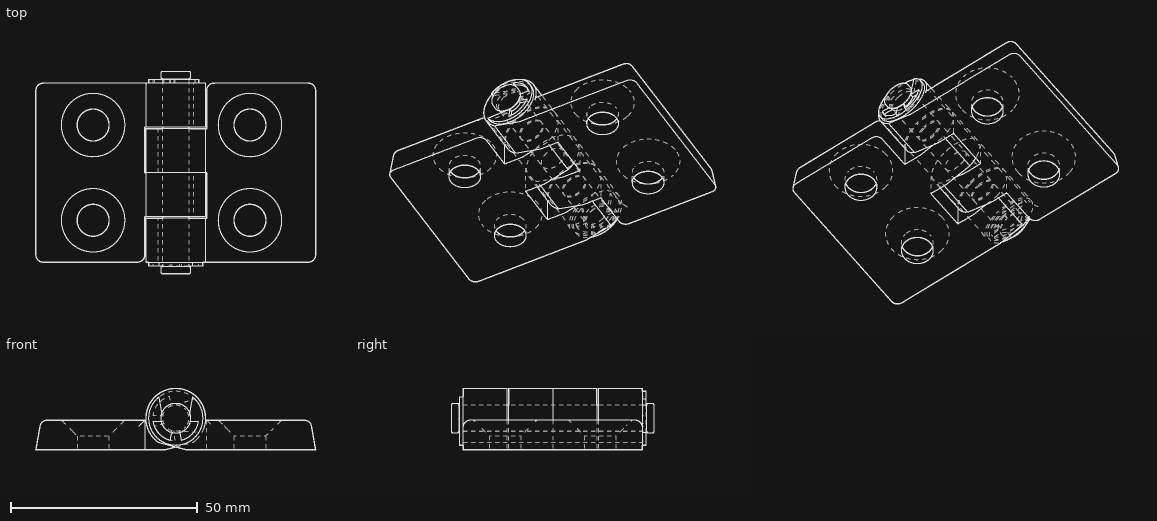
import cadquery as cq
import math

AXIS_Z = 8.5
BARREL_RADIUS = 8.0
LEAF_LENGTH = 48.0
LEAF_REACH = 74.97 / 2
LEAF_HEIGHT = 8.0
LEAF_ROUND = 2.0
DRAFT = math.tan(math.radians(10))
BARREL_CLEARANCE = 0.25
PLATE_INNER = BARREL_RADIUS + BARREL_CLEARANCE

KNUCKLE_PITCH = LEAF_LENGTH / 4
KNUCKLE_GAP = 0.4
KNUCKLE_LENGTH = KNUCKLE_PITCH - KNUCKLE_GAP / 2

RELIEF_START = 2.85
RELIEF_SLOPE = math.tan(math.radians(15))

SCREW_DIAMETER = 8.5
SINK_DIAMETER = 17.0
SCREW_SPACING = 25.5
LEFT_SCREW_X = 22.125
RIGHT_SCREW_X = 19.875

PIN_LENGTH = 54.25
SHAFT_RADIUS = 3.5
HEAD_RADIUS = 4.0
HEAD_ROUND = HEAD_RADIUS - SHAFT_RADIUS

CLIP_THICKNESS = 1.0
PIN_GROOVE_WIDTH = 1.1
CLIP_RADIUS = 7.25
CLIP_TAPER = math.tan(math.radians(10))
WINDOW_RADIUS = 6.1
WINDOW_TOP = -0.95
TAB_HALF_WIDTH = 0.45
REAR_CLIP_TURN = 83.0

SHAFT_HALF = LEAF_LENGTH / 2 + PIN_GROOVE_WIDTH


def y_cylinder(radius, y_start, length):
    """Solid cylinder on the hinge axis, from y_start toward +Y."""
    return (
        cq.Workplane("XZ", origin=(0, y_start, AXIS_Z))
        .circle(radius)
        .extrude(-length)
    )


def leaf_plate():
    """Plate from the -X end to the axis: drafted end, rounded corners and top edges."""
    plate = (
        cq.Workplane("XZ", origin=(0, LEAF_LENGTH / 2, 0))
        .polyline([
            (-LEAF_REACH, 0),
            (0, 0),
            (0, LEAF_HEIGHT),
            (-LEAF_REACH + LEAF_HEIGHT * DRAFT, LEAF_HEIGHT),
        ])
        .close()
        .extrude(LEAF_LENGTH)
    )
    plate = plate.faces("<X").edges("not |Y").fillet(LEAF_ROUND)
    return plate.faces(">Z").edges("not >X").fillet(LEAF_ROUND)


def knuckle_clearance(y_start, length):
    """Room beside the plate for a knuckle of the opposite leaf, from y_start toward +Y."""
    return (
        cq.Workplane("XY", origin=(0, y_start, 0))
        .rect(-PLATE_INNER, length, centered=False)
        .extrude(LEAF_HEIGHT)
    )


def inner_corner_trim():
    """Waste outside the rounded inner corner at the end without a knuckle."""
    corner = (-PLATE_INNER, -LEAF_LENGTH / 2)
    return (
        cq.Workplane("XY")
        .moveTo(*corner)
        .lineTo(corner[0], corner[1] + LEAF_ROUND)
        .radiusArc((corner[0] - LEAF_ROUND, corner[1]), LEAF_ROUND)
        .close()
        .extrude(LEAF_HEIGHT)
    )


def underside_relief():
    """Wedge under the sloped flat that trims the bottom of the barrels."""
    return (
        cq.Workplane("XZ", origin=(0, LEAF_LENGTH / 2, 0))
        .polyline([
            (-RELIEF_START, 0),
            (BARREL_RADIUS, 0),
            (BARREL_RADIUS, (RELIEF_START + BARREL_RADIUS) * RELIEF_SLOPE),
        ])
        .close()
        .extrude(LEAF_LENGTH)
    )


def screw_hole(x, y):
    """Through hole with a conical countersink in the top of the leaf."""
    sink_depth = (SINK_DIAMETER - SCREW_DIAMETER) / 2
    hole = cq.Workplane("XY", origin=(x, y, 0)).circle(SCREW_DIAMETER / 2).extrude(LEAF_HEIGHT)
    cone = cq.Solid.makeCone(
        SCREW_DIAMETER / 2, SINK_DIAMETER / 2, sink_depth, cq.Vector(x, y, LEAF_HEIGHT - sink_depth)
    )
    return hole.union(cq.Workplane(cone))


def hinge_leaf(screw_x):
    """Leaf on the -X side with knuckles at the +Y end and just in front of mid-length."""
    leaf = leaf_plate()
    for y_start in (-LEAF_LENGTH / 2, 0):
        leaf = leaf.cut(knuckle_clearance(y_start, KNUCKLE_PITCH + KNUCKLE_GAP / 2))
    leaf = leaf.cut(inner_corner_trim())
    for y_start in (LEAF_LENGTH / 2 - KNUCKLE_LENGTH, -KNUCKLE_LENGTH):
        leaf = leaf.union(y_cylinder(BARREL_RADIUS, y_start, KNUCKLE_LENGTH))
    leaf = leaf.cut(underside_relief())
    leaf = leaf.cut(y_cylinder(SHAFT_RADIUS, -LEAF_LENGTH / 2, LEAF_LENGTH))
    for y in (-SCREW_SPACING / 2, SCREW_SPACING / 2):
        leaf = leaf.cut(screw_hole(-screw_x, y))
    return leaf


def hinge_pin():
    """Shaft between two wider, rounded heads that leave a groove for each clip."""
    pin_end = PIN_LENGTH / 2
    end_face_radius = HEAD_RADIUS - HEAD_ROUND
    return (
        cq.Workplane("YZ", origin=(0, 0, AXIS_Z))
        .moveTo(-pin_end, 0)
        .lineTo(-pin_end, end_face_radius)
        .radiusArc((-pin_end + HEAD_ROUND, HEAD_RADIUS), HEAD_ROUND)
        .lineTo(-SHAFT_HALF - HEAD_ROUND, HEAD_RADIUS)
        .radiusArc((-SHAFT_HALF, SHAFT_RADIUS), HEAD_ROUND)
        .lineTo(SHAFT_HALF, SHAFT_RADIUS)
        .radiusArc((SHAFT_HALF + HEAD_ROUND, HEAD_RADIUS), HEAD_ROUND)
        .lineTo(pin_end - HEAD_ROUND, HEAD_RADIUS)
        .radiusArc((pin_end, end_face_radius), HEAD_ROUND)
        .lineTo(pin_end, 0)
        .close()
        .revolve(360, (0, 0, 0), (1, 0, 0))
    )


def flared_block(plane, half_width, reach):
    """Clip-thick block that widens from the clip centre to the height `reach`."""
    end_half_width = half_width + abs(reach) * CLIP_TAPER
    return (
        plane.polyline([
            (-half_width, 0),
            (half_width, 0),
            (end_half_width, reach),
            (-end_half_width, reach),
        ])
        .close()
        .extrude(-CLIP_THICKNESS)
    )


def retaining_clip(y_start, turn):
    """E-shaped clip, open at the top before it is turned about the hinge axis."""
    plane = cq.Workplane("XZ", origin=(0, y_start, AXIS_Z))
    disc = plane.circle(CLIP_RADIUS).circle(SHAFT_RADIUS).extrude(-CLIP_THICKNESS)
    mouth = flared_block(plane, SHAFT_RADIUS, CLIP_RADIUS)
    tab = flared_block(plane, TAB_HALF_WIDTH, -CLIP_RADIUS)
    window_zone = (
        plane.center(0, WINDOW_TOP - CLIP_RADIUS / 2)
        .rect(2 * CLIP_RADIUS, CLIP_RADIUS)
        .extrude(-CLIP_THICKNESS)
    )
    windows = plane.circle(WINDOW_RADIUS).extrude(-CLIP_THICKNESS).intersect(window_zone).cut(tab)
    clip = disc.cut(mouth).cut(windows)
    return clip.rotate((0, 0, AXIS_Z), (0, 1, AXIS_Z), turn)


left_leaf = hinge_leaf(LEFT_SCREW_X)
right_leaf = hinge_leaf(RIGHT_SCREW_X).rotate((0, 0, 0), (0, 0, 1), 180)
pin = hinge_pin()
front_clip = retaining_clip(-LEAF_LENGTH / 2 - CLIP_THICKNESS, 0)
rear_clip = retaining_clip(LEAF_LENGTH / 2, REAR_CLIP_TURN)

result = cq.Compound.makeCompound([
    left_leaf.val(),
    right_leaf.val(),
    pin.val(),
    front_clip.val(),
    rear_clip.val(),
])